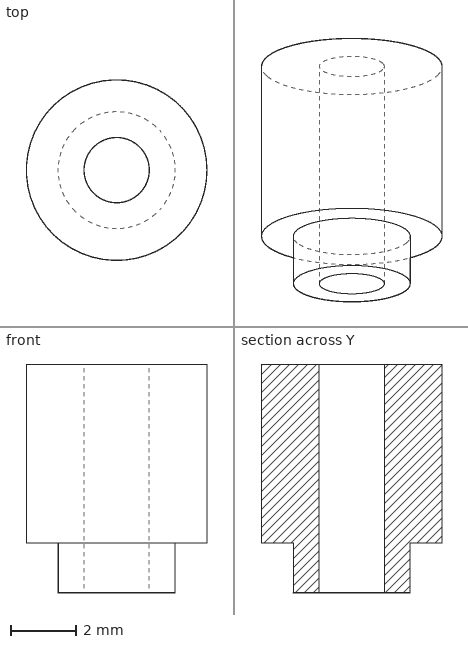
import cadquery as cq

body_diameter = 5.56
spigot_diameter = 3.6
bore_diameter = 2.0
overall_height = 7.03
body_height = 5.5
spigot_height = overall_height - body_height


def cylinder(diameter, height, base_z):
    """Upright cylinder on the Z axis, standing on base_z."""
    return cq.Workplane("XY").workplane(offset=base_z).circle(diameter / 2).extrude(height)


spigot = cylinder(spigot_diameter, spigot_height, 0)
body = cylinder(body_diameter, body_height, spigot_height)

bore = cylinder(bore_diameter, overall_height, 0)

result = spigot.union(body).cut(bore)